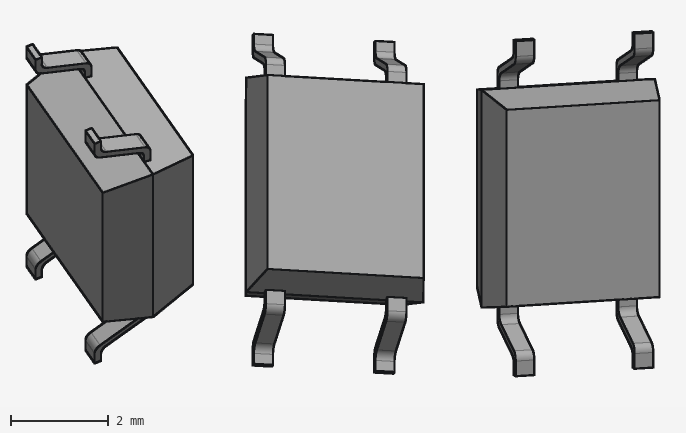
import cadquery as cq
import math

body_width = 3.7
body_height = 4.55
body_half_depth = 1.05
face_inset = 0.22

lead_span = 7.0
lead_pitch = 2.54
lead_width = 0.4
lead_thickness = 0.15
bend_radius = 0.2
overall_depth = 2.2
foot_corner_drop = 0.455
shoulder_corner_drop = 0.925
lead_embed = 0.35

lead_tip = lead_span / 2
foot_front = body_half_depth - overall_depth
foot_back = foot_front + lead_thickness
foot_corner = lead_tip - foot_corner_drop
shoulder_corner = lead_tip - shoulder_corner_drop
lead_root = body_height / 2 - lead_embed


def body_half(depth):
    """Tapered half of the body, from the parting plane towards -Y."""
    taper = math.degrees(math.atan(face_inset / depth))
    return cq.Workplane("XZ").rect(body_width, body_height).extrude(depth, taper=taper)


def upper_lead(x_center):
    """Lead leaving the top of the body and stepping forward to its foot."""
    slope = math.atan2(foot_corner - shoulder_corner, -foot_front)
    corner_shift = lead_thickness * math.tan((math.pi / 2 - slope) / 2)
    profile = [
        (0, lead_root),
        (0, shoulder_corner),
        (foot_front, foot_corner),
        (foot_front, lead_tip),
        (foot_back, lead_tip),
        (foot_back, foot_corner + corner_shift),
        (lead_thickness, shoulder_corner + corner_shift),
        (lead_thickness, lead_root),
    ]
    strip = cq.Workplane("YZ").polyline(profile).close().extrude(lead_width / 2, both=True)
    bend_edges = strip.edges("|X").edges(
        cq.selectors.BoxSelector(
            (-lead_width, foot_front - lead_thickness, body_height / 2),
            (lead_width, 2 * lead_thickness, lead_tip - lead_thickness),
        )
    )
    return bend_edges.fillet(bend_radius).translate((x_center, 0, 0))


front_half = body_half(body_half_depth)
result = front_half.union(front_half.mirror("XZ"))

for x_center in (-lead_pitch / 2, lead_pitch / 2):
    lead = upper_lead(x_center)
    result = result.union(lead).union(lead.mirror("XY"))